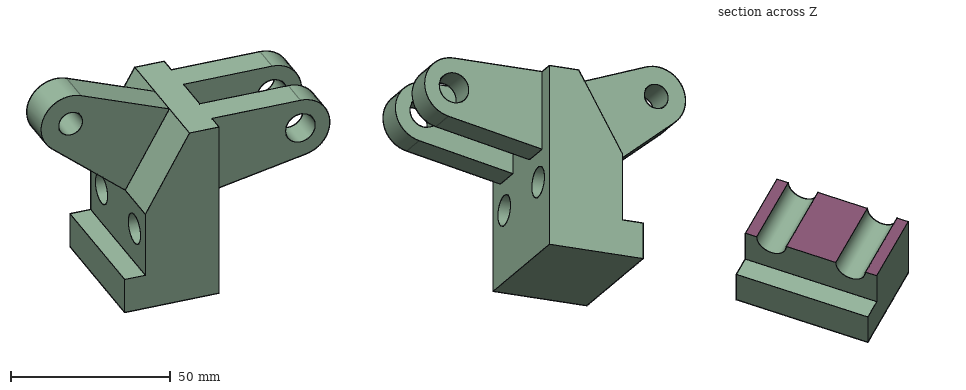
import cadquery as cq
import math

total_length = 93.5
total_height = 72.0

body_width = 45.0
body_height = 60.0
body_depth = 25.0
foot_depth = 32.0
foot_height = 12.0
top_depth = 10.0
slope_bottom = 33.9

lug_radius = 10.0
rear_reach = 30.0
rear_lug_thickness = 10.0
rear_lug_gap = 13.3
rear_pin_diameter = 10.0
front_lug_thickness = 12.0
front_pin_diameter = 8.0

mount_diameter = 10.0
mount_spacing = 27.0
mount_height = 24.0

rear_pin = (rear_reach, body_height - lug_radius)
front_pin = (rear_reach + 2 * lug_radius - total_length, total_height - lug_radius)
slope_top_edge = (-top_depth, body_height)
slope_bottom_edge = (-body_depth, slope_bottom)


def tangent_point(root, center, side):
    """Point where a line from root touches the lug end; side picks one of the two (+1 or -1)."""
    dy = root[0] - center[0]
    dz = root[1] - center[1]
    angle = math.atan2(dz, dy) + side * math.acos(lug_radius / math.hypot(dy, dz))
    return (center[0] + lug_radius * math.cos(angle), center[1] + lug_radius * math.sin(angle))


def make_lug(top_root, bottom_root, center, outward, thickness, pin_diameter, middle_x):
    """Tapered, round-ended lug with a pin hole; outward is its direction along Y (+1 or -1)."""
    top_tangent = tangent_point(top_root, center, -outward)
    bottom_tangent = tangent_point(bottom_root, center, outward)
    tip = (center[0] + outward * lug_radius, center[1])
    plane = cq.Workplane("YZ", origin=(middle_x, 0, 0))
    lug = (
        plane.moveTo(*top_root)
        .lineTo(*top_tangent)
        .threePointArc(tip, bottom_tangent)
        .lineTo(*bottom_root)
        .close()
        .extrude(thickness / 2, both=True)
    )
    pin_hole = plane.center(*center).circle(pin_diameter / 2).extrude(thickness, both=True)
    return lug.cut(pin_hole)


def make_body():
    """Block with a sloped upper front and a projecting foot."""
    profile = [
        (0, 0),
        (0, body_height),
        slope_top_edge,
        slope_bottom_edge,
        (-body_depth, foot_height),
        (-foot_depth, foot_height),
        (-foot_depth, 0),
    ]
    return cq.Workplane("YZ").polyline(profile).close().extrude(body_width / 2, both=True)


def make_mount_holes():
    """Pair of holes through the full depth of the body."""
    return (
        cq.Workplane("XZ")
        .pushPoints([(side * mount_spacing / 2, mount_height) for side in (-1, 1)])
        .circle(mount_diameter / 2)
        .extrude(body_depth)
    )


result = make_body().cut(make_mount_holes())

rear_lug_offset = (rear_lug_gap + rear_lug_thickness) / 2
for side in (-1, 1):
    result = result.union(
        make_lug(
            (0, body_height), (0, slope_bottom), rear_pin, 1,
            rear_lug_thickness, rear_pin_diameter, side * rear_lug_offset,
        )
    )

result = result.union(
    make_lug(
        slope_top_edge, slope_bottom_edge, front_pin, -1,
        front_lug_thickness, front_pin_diameter, 0,
    )
)